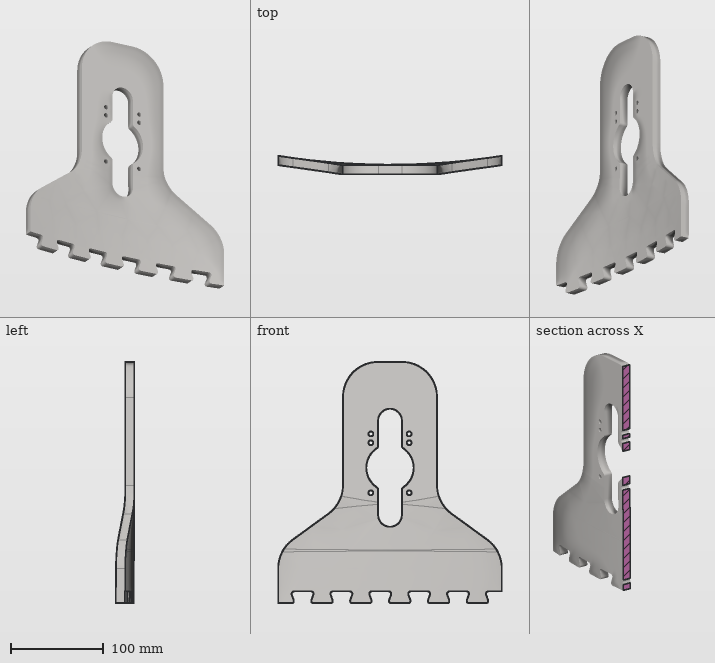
import cadquery as cq
import math

height = 260.35
base_width = 241.3
neck_width = 101.6
total_depth = 20.15
thickness = 10.0
outline_radius = 38.1
cutter_depth = 2 * total_depth

upper_bend_z = 107.95
lower_bend_z = 57.15
edge_bow = 9.525
base_lean = total_depth - thickness - edge_bow
section_count = 13
panel_point_count = 5

bend_middle_reach = 0.5
upper_bend_above_growth = 0.2
upper_bend_below_growth = 0.12
lower_bend_growth = 0.01
bend_growth_start = 20.0

slot_width = 25.4
slot_bottom_z = 82.55
slot_length = 127.0
bore_diameter = 50.8
bore_z = slot_bottom_z + slot_length / 2
bore_corner_radius = 3.175

hole_diameter = 5.0
hole_x = 20.6375
hole_offsets_z = (-26.9875, 26.9875, 36.5125)

tooth_depth = 12.7
tooth_count = 6
flank_pitch = 20.955
flank_angle = math.radians(20)
tooth_radius = 2.54


def cut_through(outline):
    """Extrude an XZ outline far past both faces of the sheet."""
    return outline.extrude(cutter_depth, both=True)


def edges_within(half_width, bottom_z, top_z):
    """Selector for edges whose centres lie in a box about X = 0 between two heights."""
    return cq.selectors.BoxSelector(
        (-half_width, -cutter_depth, bottom_z), (half_width, cutter_depth, top_z)
    )


def front_y(x, z):
    """Front face of the sheet below the neck: a parabolic bow that deepens and widens downwards."""
    progress = min(1, (upper_bend_z - z) / (upper_bend_z - lower_bend_z))
    bow_width = neck_width + progress * (base_width - neck_width)
    bow = progress * edge_bow * (2 * x / bow_width) ** 2
    return bow + base_lean * (upper_bend_z - z) / upper_bend_z


def bend_reach(x, growth):
    """Half height of a bend band, widening smoothly away from the middle of the sheet."""
    return bend_middle_reach + growth * (math.hypot(x, bend_growth_start) - bend_growth_start)


def sheet_section(x):
    """Closed YZ profile of the bent sheet at one X position."""
    neck_start_z = upper_bend_z + bend_reach(x, upper_bend_above_growth)
    panel_top_z = upper_bend_z - bend_reach(x, upper_bend_below_growth)
    panel_bottom_z = lower_bend_z + bend_reach(x, lower_bend_growth)
    base_top_z = lower_bend_z - bend_reach(x, lower_bend_growth)
    panel_step = (panel_top_z - panel_bottom_z) / (panel_point_count - 1)
    panel_heights = [panel_bottom_z + i * panel_step for i in range(panel_point_count)]

    def face_edges(offset):
        """One face of the sheet from the bottom edge up."""
        def on_face(z):
            return cq.Vector(x, offset + front_y(x, z), z)

        neck_start = cq.Vector(x, offset, neck_start_z)
        neck_top = cq.Vector(x, offset, height)
        return [
            cq.Edge.makeLine(on_face(0), on_face(base_top_z)),
            cq.Edge.makeLine(on_face(base_top_z), on_face(panel_bottom_z)),
            cq.Edge.makeSpline([on_face(z) for z in panel_heights]),
            cq.Edge.makeLine(on_face(panel_top_z), neck_start),
            cq.Edge.makeLine(neck_start, neck_top),
        ]

    front = face_edges(0)
    back = face_edges(thickness)
    top = cq.Edge.makeLine(front[-1].endPoint(), back[-1].endPoint())
    bottom = cq.Edge.makeLine(back[0].startPoint(), front[0].startPoint())
    return cq.Wire.assembleEdges(front + [top] + back[::-1] + [bottom])


def bent_sheet():
    step = base_width / (section_count - 1)
    sections = [sheet_section(-base_width / 2 + i * step) for i in range(section_count)]
    return cq.Workplane(cq.Solid.makeLoft(sections))


def plate_outline():
    """Narrow neck flaring to the wide base, with every corner above the teeth rounded."""
    half_neck = neck_width / 2
    half_base = base_width / 2
    blank = cut_through(
        cq.Workplane("XZ").polyline([
            (-half_base, 0),
            (-half_base, lower_bend_z),
            (-half_neck, upper_bend_z),
            (-half_neck, height),
            (half_neck, height),
            (half_neck, upper_bend_z),
            (half_base, lower_bend_z),
            (half_base, 0),
        ]).close()
    )
    corners = edges_within(base_width, tooth_depth, 2 * height)
    return blank.edges("|Y").edges(corners).fillet(outline_radius)


def keyhole():
    """Vertical slot crossed by a round bore, with the meeting corners eased."""
    centre = cq.Workplane("XZ").center(0, bore_z)
    slot = cut_through(centre.slot2D(slot_length, slot_width, 90))
    bore_reach = bore_diameter / 2
    bore = cut_through(centre.circle(bore_reach))
    corners = edges_within(bore_reach, bore_z - bore_reach, bore_z + bore_reach)
    return slot.union(bore).edges("|Y").edges(corners).fillet(bore_corner_radius)


def screw_holes():
    points = [(side * hole_x, bore_z + offset) for side in (-1, 1) for offset in hole_offsets_z]
    return cut_through(cq.Workplane("XZ").pushPoints(points).circle(hole_diameter / 2))


def teeth():
    """Bottom strip of dovetail teeth, wider at their tips; the first one runs past the -X edge."""
    undercut = tooth_depth / 2 * math.tan(flank_angle)
    root_half = flank_pitch / 2 - undercut
    tip_half = flank_pitch / 2 + undercut
    strip_top_z = 2 * tooth_depth
    first_tooth_x = -flank_pitch * (tooth_count - 0.5)

    points = [(-base_width, strip_top_z), (-base_width, 0)]
    for i in range(tooth_count):
        tooth_x = first_tooth_x + 2 * flank_pitch * i
        if i > 0:
            points += [(tooth_x - root_half, tooth_depth), (tooth_x - tip_half, 0)]
        points += [(tooth_x + tip_half, 0), (tooth_x + root_half, tooth_depth)]
    points += [(base_width, tooth_depth), (base_width, strip_top_z)]

    strip = cut_through(cq.Workplane("XZ").polyline(points).close())
    corners = edges_within(base_width / 2, -tooth_depth / 2, 1.5 * tooth_depth)
    return strip.edges("|Y").edges(corners).fillet(tooth_radius)


def toothed_outline():
    """Plate outline with the spaces between the dovetail teeth removed."""
    bottom_strip = cut_through(cq.Workplane("XZ").rect(2 * base_width, 2 * tooth_depth))
    return plate_outline().cut(bottom_strip.cut(teeth()))


result = bent_sheet().intersect(toothed_outline()).cut(keyhole()).cut(screw_holes())